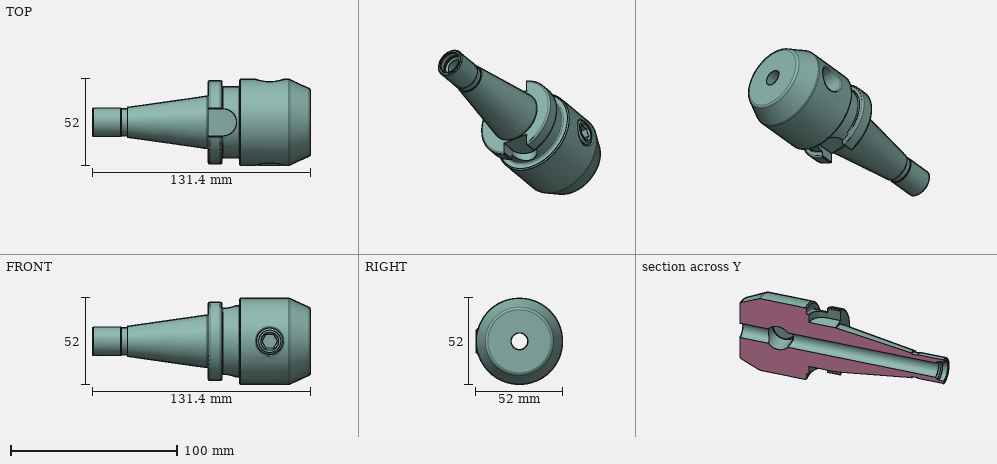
import cadquery as cq
import math

LENGTH = 131.4

PILOT_END = 17.1
TAPER_START = 21.0
TAPER_END = 68.9
FLANGE_START = 69.8
FLANGE_END = 78.0
HEAD_START = 88.5
NOSE_START = 118.5

PILOT_R = 8.7
GROOVE_R = 8.3
TAPER_SMALL_R = 9.1
TAPER_LARGE_R = 15.9
FLANGE_R = 25.1
NECK_R = 21.5
HEAD_R = 26.0
NOSE_CORNER_R = 20.1

PILOT_CHAMFER = 0.7
FLANGE_FILLET = 1.0
NECK_FILLET = 0.7
HEAD_CHAMFER = 0.8
NOSE_FILLET = 1.7
NOSE_BLEND_R = 2.1

BORE_R = 5.0
COUNTERBORE_R = 6.6
COUNTERBORE_DEPTH = 3.5
RELIEF_R = 6.2
RELIEF_END = 4.6
MOUTH_R = 7.0

SLOT_WIDTH = 16.3
SLOT_FLOOR_Z = 16.0
SLOT_ARC_X = 78.7
SLOT_EDGE_CHAMFER = 0.8

SCREW_X = 106.8
SCREW_R = 8.0
SCREW_LENGTH = 15.8
SCREW_CHAMFER = 1.3
SOCKET_FLATS = 8.1
SOCKET_DEPTH = 6.6
SOCKET_MOUTH_R = 5.4
HOLE_FILLET = 0.7


def revolve_about_x(profile):
    return profile.close().revolve(360, (0, 0, 0), (1, 0, 0))


def countersink(origin, direction, large_r, small_r):
    """45 degree countersink that narrows from large_r at the origin to small_r."""
    depth = large_r - small_r
    cone = cq.Solid.makeCone(large_r, small_r, depth, cq.Vector(*origin), cq.Vector(*direction))
    return cq.Workplane(cone)


def round_rim(body, x, radius, fillet):
    """Fillet the circular edge of the given radius that lies at station x."""
    tolerance = 0.001
    rims = [
        edge
        for edge in body.edges("%CIRCLE").vals()
        if abs(edge.Center().x - x) < tolerance and abs(edge.radius() - radius) < tolerance
    ]
    return body.newObject(rims).fillet(fillet)


def turned_blank():
    """Outer shape, turned about X."""
    profile = (
        cq.Workplane("XZ")
        .lineTo(0, PILOT_R - PILOT_CHAMFER)
        .lineTo(PILOT_CHAMFER, PILOT_R)
        .lineTo(PILOT_END, PILOT_R)
        .lineTo(PILOT_END + PILOT_R - GROOVE_R, GROOVE_R)
        .lineTo(TAPER_START, GROOVE_R)
        .lineTo(TAPER_START, TAPER_SMALL_R)
        .lineTo(TAPER_END, TAPER_LARGE_R)
        .lineTo(FLANGE_START, TAPER_LARGE_R)
        .lineTo(FLANGE_START, FLANGE_R)
        .lineTo(FLANGE_END, FLANGE_R)
        .lineTo(FLANGE_END, NECK_R)
        .lineTo(HEAD_START, NECK_R)
        .lineTo(HEAD_START, HEAD_R - HEAD_CHAMFER)
        .lineTo(HEAD_START + HEAD_CHAMFER, HEAD_R)
        .lineTo(NOSE_START, HEAD_R)
        .lineTo(LENGTH, NOSE_CORNER_R)
        .lineTo(LENGTH, 0)
    )
    blank = revolve_about_x(profile)
    blank = round_rim(blank, FLANGE_START, FLANGE_R, FLANGE_FILLET)
    blank = round_rim(blank, FLANGE_END, FLANGE_R, FLANGE_FILLET)
    blank = round_rim(blank, FLANGE_END, NECK_R, NECK_FILLET)
    blank = round_rim(blank, HEAD_START, NECK_R, NECK_FILLET)
    blank = round_rim(blank, NOSE_START, HEAD_R, NOSE_BLEND_R)
    return round_rim(blank, LENGTH, NOSE_CORNER_R, NOSE_FILLET)


def drawbar_bore():
    """Through bore with a chamfered mouth, counterbore and relief step at the shank end."""
    mouth_depth = MOUTH_R - COUNTERBORE_R
    relief_taper = RELIEF_R - BORE_R
    profile = (
        cq.Workplane("XZ")
        .lineTo(0, MOUTH_R)
        .lineTo(mouth_depth, COUNTERBORE_R)
        .lineTo(COUNTERBORE_DEPTH, COUNTERBORE_R)
        .lineTo(COUNTERBORE_DEPTH, RELIEF_R)
        .lineTo(RELIEF_END, RELIEF_R)
        .lineTo(RELIEF_END + relief_taper, BORE_R)
        .lineTo(LENGTH, BORE_R)
        .lineTo(LENGTH, 0)
    )
    return revolve_about_x(profile)


def drive_slot():
    """Cutter for the +Z drive slot: round-ended, with chamfered edges across the flange."""
    half_width = SLOT_WIDTH / 2
    height = HEAD_R - SLOT_FLOOR_Z
    arc_end_x = SLOT_ARC_X + half_width
    slot = (
        cq.Workplane("XY", origin=(0, 0, SLOT_FLOOR_Z))
        .moveTo(FLANGE_START, -half_width)
        .lineTo(SLOT_ARC_X, -half_width)
        .threePointArc((arc_end_x, 0), (SLOT_ARC_X, half_width))
        .lineTo(FLANGE_START, half_width)
        .close()
        .extrude(height)
    )
    chamfer_z = math.sqrt(FLANGE_R**2 - half_width**2) - SLOT_EDGE_CHAMFER
    flare = HEAD_R - chamfer_z
    edge_chamfers = (
        cq.Workplane("YZ", origin=(FLANGE_START, 0, 0))
        .moveTo(-half_width, chamfer_z)
        .lineTo(half_width, chamfer_z)
        .lineTo(half_width + flare, HEAD_R)
        .lineTo(-half_width - flare, HEAD_R)
        .close()
        .extrude(FLANGE_END - FLANGE_START)
    )
    return slot.union(edge_chamfers)


def cut_screw_hole(body):
    """Cross hole right through the head along Y, with rounded edges where it leaves the head."""
    hole = cq.Workplane("XZ", origin=(SCREW_X, HEAD_R, 0)).circle(SCREW_R).extrude(2 * HEAD_R)
    drilled = body.cut(hole)
    reach = SCREW_R + HOLE_FILLET
    for y in (-HEAD_R, HEAD_R):
        mouth = cq.selectors.BoxSelector(
            (SCREW_X - reach, y - reach, -reach),
            (SCREW_X + reach, y + reach, reach),
            boundingbox=True,
        )
        drilled = drilled.edges(mouth).fillet(HOLE_FILLET)
    return drilled


def make_holder():
    slot = drive_slot()
    body = turned_blank().cut(drawbar_bore()).cut(slot).cut(slot.mirror("XY"))
    return cut_screw_hole(body)


def make_clamp_screw():
    """Set screw whose socket faces -Y, flush with the outside of the head."""
    corner_circle = SOCKET_FLATS / math.cos(math.pi / 6)
    face = (SCREW_X, -HEAD_R, 0)
    shank = (
        cq.Workplane("XZ", origin=face)
        .circle(SCREW_R)
        .extrude(-SCREW_LENGTH)
        .faces("<Y or >Y")
        .chamfer(SCREW_CHAMFER)
    )
    socket = cq.Workplane("XZ", origin=face).polygon(6, corner_circle).extrude(-SOCKET_DEPTH)
    socket_mouth = countersink(face, (0, 1, 0), SOCKET_MOUTH_R, SOCKET_FLATS / 2)
    return shank.cut(socket).cut(socket_mouth)


holder = make_holder()
clamp_screw = make_clamp_screw()

result = cq.Compound.makeCompound([holder.val(), clamp_screw.val()])